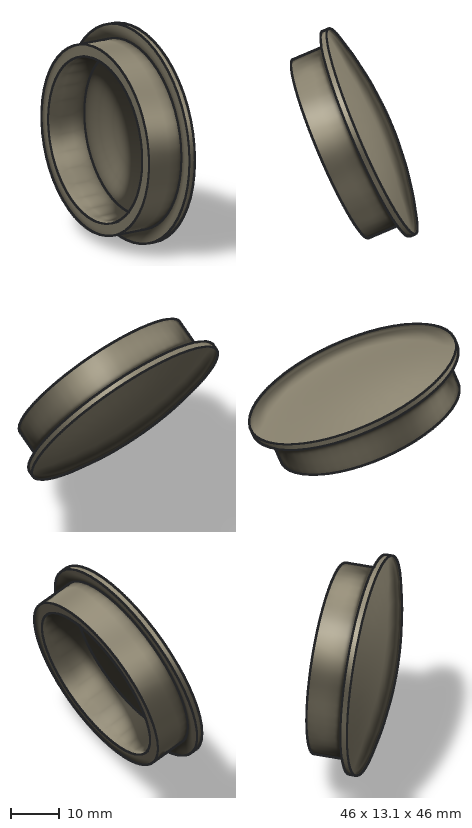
import cadquery as cq

flange_radius = 23.0
flange_thickness = 1.4
plug_radius = 20.0
plug_length = 8.0
dome_rise = 3.65

mouth_radius = 17.5
floor_radius = 17.2
cavity_wall_depth = 8.75
floor_rise = 2.0

overall_depth = plug_length + flange_thickness + dome_rise
mouth_y = -overall_depth / 2
flange_bottom_y = mouth_y + plug_length
flange_top_y = flange_bottom_y + flange_thickness
dome_peak_y = flange_top_y + dome_rise
floor_edge_y = mouth_y + cavity_wall_depth
floor_peak_y = floor_edge_y + floor_rise


def dome_mid_point(edge_radius, edge_y, rise):
    """Point at half the edge radius on the spherical arc from the edge to the axis."""
    sphere_radius = (edge_radius**2 + rise**2) / (2 * rise)
    mid_radius = edge_radius / 2
    drop = sphere_radius - (sphere_radius**2 - mid_radius**2) ** 0.5
    return (mid_radius, edge_y + rise - drop)


half_section = (
    cq.Workplane("XY")
    .moveTo(mouth_radius, mouth_y)
    .lineTo(plug_radius, mouth_y)
    .lineTo(plug_radius, flange_bottom_y)
    .lineTo(flange_radius, flange_bottom_y)
    .lineTo(flange_radius, flange_top_y)
    .threePointArc(dome_mid_point(flange_radius, flange_top_y, dome_rise), (0, dome_peak_y))
    .lineTo(0, floor_peak_y)
    .threePointArc(dome_mid_point(floor_radius, floor_edge_y, floor_rise), (floor_radius, floor_edge_y))
    .close()
)

result = half_section.revolve(360, (0, 0, 0), (0, 1, 0))